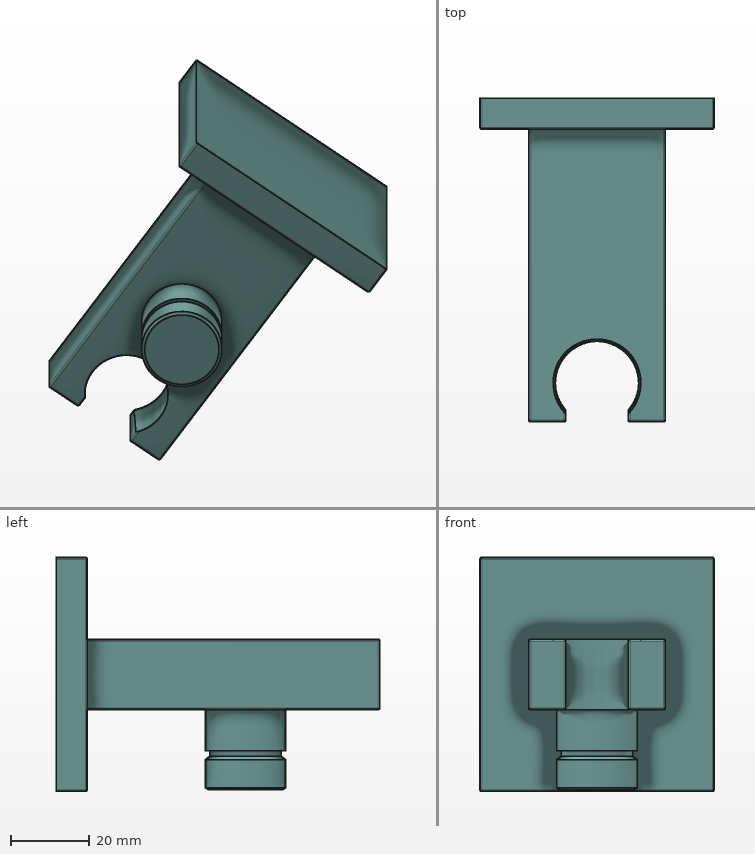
import cadquery as cq

TOTAL_DEPTH = 83.0
EDGE_RADIUS = 0.5

PLATE_SIDE = 60.0
PLATE_THICKNESS = 8.0

ARM_WIDTH = 35.0
ARM_HEIGHT = 18.0
ARM_LENGTH = TOTAL_DEPTH - PLATE_THICKNESS

CRADLE_TO_TIP = 10.0
CRADLE_TOP_DIAMETER = 22.5
CRADLE_BOTTOM_DIAMETER = 21.3
MOUTH_WIDTH = 16.0

OUTLET_TO_WALL = 48.55
OUTLET_DIAMETER = 20.6
OUTLET_LENGTH = 20.5
OUTLET_END_DIAMETER = 19.0
OUTLET_END_CHAMFER_HEIGHT = 0.5
GROOVE_DIAMETER = 18.4
GROOVE_DEPTH_BELOW_ARM = 10.6
GROOVE_HEIGHT = 1.4
GROOVE_TAPER_HEIGHT = 0.8


def make_plate():
    """Square wall plate, rounded everywhere except around its wall face."""
    plate = cq.Workplane("XY").box(PLATE_SIDE, PLATE_THICKNESS, PLATE_SIDE)
    plate = plate.translate((0, -PLATE_THICKNESS / 2, 0))
    return plate.edges("|Y or <Y").fillet(EDGE_RADIUS)


def make_cradle_cutter():
    """Cone through the arm height, wider at the top."""
    top_radius = CRADLE_TOP_DIAMETER / 2
    bottom_radius = CRADLE_BOTTOM_DIAMETER / 2
    cone = cq.Solid.makeCone(bottom_radius, top_radius, ARM_HEIGHT)
    return cone.translate(cq.Vector(0, CRADLE_TO_TIP - TOTAL_DEPTH, -ARM_HEIGHT / 2))


def make_arm():
    """Rectangular arm with rounded long and tip edges and an open cradle."""
    arm = cq.Workplane("XY").box(ARM_WIDTH, ARM_LENGTH, ARM_HEIGHT)
    arm = arm.translate((0, -PLATE_THICKNESS - ARM_LENGTH / 2, 0))

    mouth = cq.Workplane("XY").box(MOUTH_WIDTH, CRADLE_TO_TIP, ARM_HEIGHT)
    mouth = mouth.translate((0, CRADLE_TO_TIP / 2 - TOTAL_DEPTH, 0))
    arm = arm.cut(mouth)

    tip_edges = arm.faces("<Y").edges()
    rounded_edges = arm.edges("|Y").add(tip_edges)
    arm = rounded_edges.fillet(EDGE_RADIUS)
    return arm.cut(make_cradle_cutter())


def make_outlet():
    """Grooved round outlet, revolved from its half profile in (radius, Z)."""
    outer_radius = OUTLET_DIAMETER / 2
    groove_radius = GROOVE_DIAMETER / 2
    top = -ARM_HEIGHT / 2
    bottom = top - OUTLET_LENGTH
    groove_top = top - GROOVE_DEPTH_BELOW_ARM
    groove_bottom = groove_top - GROOVE_HEIGHT
    profile = [
        (0, top),
        (outer_radius, top),
        (outer_radius, groove_top),
        (groove_radius, groove_top),
        (groove_radius, groove_bottom),
        (outer_radius, groove_bottom - GROOVE_TAPER_HEIGHT),
        (outer_radius, bottom + OUTLET_END_CHAMFER_HEIGHT),
        (OUTLET_END_DIAMETER / 2, bottom),
        (0, bottom),
    ]
    outlet = cq.Workplane("XZ").polyline(profile).close().revolve(360, (0, 0), (0, 1))
    return outlet.translate((0, -OUTLET_TO_WALL, 0))


plate = make_plate()
arm = make_arm()
outlet = make_outlet()

result = cq.Compound.makeCompound([plate.val(), arm.val(), outlet.val()])